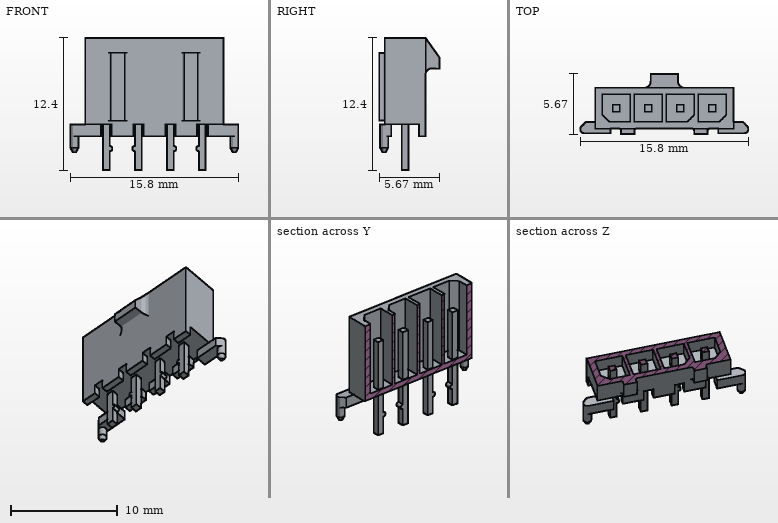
import cadquery as cq
import math

body_length = 13.0
body_depth = 3.84
body_height = 8.12
wall = 0.63

pitch = 3.0
pin_count = 4
pin_xs = [(i - (pin_count - 1) / 2) * pitch for i in range(pin_count)]
row_y = body_depth / 2

pocket_length = 2.62
pocket_depth = body_depth - 2 * wall
pocket_height = body_height - wall
key_chamfer = 0.66
key_corners = ["<X and <Y", None, ">X and <Y", ">X and <Y"]

foot_height = 1.12
foot_gap = 0.95

pin_size = 0.65
pin_top = -2.37
pin_bottom = -12.42
bump_radius = 0.25
bump_z = -10.4
bump_sides = [1, -1, 1, -1]

overall_length = 15.8
peg_radius = 0.4
peg_x = overall_length / 2 - peg_radius
peg_y = -0.05
peg_shoulder_z = -10.3
peg_tip_z = -10.75
peg_tip_radius = 0.16
arm_inner_x = 5.04
arm_back_y = wall

rib_x = 3.43
rib_width = 1.28
rib_depth = 0.52
rib_top = -1.4
rib_bottom = -7.77
rib_fillet = 0.19

latch_width = 2.59
latch_depth = 1.31
latch_nose_top = -1.85
latch_nose_bottom = -2.92
latch_root_bottom = -2.88
latch_fillet = 0.58


def box(x_range, y_range, z_range):
    """Axis-aligned block spanning the three ranges."""
    low, high = zip(x_range, y_range, z_range)
    size = [end - start for start, end in zip(low, high)]
    return cq.Workplane("XY").box(*size, centered=False).translate(low)


def pocket(x, key_corner):
    """Pocket cutter around one contact, with an optional keyed corner."""
    cutter = box(
        (x - pocket_length / 2, x + pocket_length / 2),
        (wall, wall + pocket_depth),
        (-pocket_height, 0),
    )
    if key_corner:
        cutter = cutter.edges("|Z").edges(key_corner).chamfer(key_chamfer)
    return cutter


def feet():
    """Feet along both long walls, parted at each pin; the arms take the front corners."""
    z_range = (-body_height - foot_height, -body_height)
    front_half = pin_xs[-1]
    row = box((-front_half, front_half), (0, wall), z_range)
    row = row.union(box((-body_length / 2, body_length / 2), (body_depth - wall, body_depth), z_range))
    for x in pin_xs:
        row = row.cut(box((x - foot_gap / 2, x + foot_gap / 2), (0, body_depth), z_range))
    return row


def pin(x, bump_side):
    """Square contact pin with a half-round retention bump on one side."""
    half = pin_size / 2
    y_range = (row_y - half, row_y + half)
    bump = (
        cq.Workplane("XZ", origin=(x + bump_side * half, y_range[1], bump_z))
        .circle(bump_radius)
        .extrude(pin_size)
    )
    return box((x - half, x + half), y_range, (pin_bottom, pin_top)).union(bump)


def peg_arm():
    """Right-hand arm with a rounded, bevelled end and a cone-tipped board peg."""
    diagonal = peg_radius * math.sqrt(0.5)
    bevel_x = peg_x + diagonal
    bevel_y = peg_y + diagonal
    front_y = peg_y - peg_radius
    arm = (
        cq.Workplane("XY", origin=(0, 0, -body_height - foot_height))
        .moveTo(arm_inner_x, front_y)
        .lineTo(peg_x, front_y)
        .threePointArc((peg_x + peg_radius, peg_y), (bevel_x, bevel_y))
        .lineTo(bevel_x - (arm_back_y - bevel_y), arm_back_y)
        .lineTo(arm_inner_x, arm_back_y)
        .close()
        .extrude(foot_height)
    )
    peg = (
        cq.Workplane("XZ", origin=(peg_x, peg_y, 0))
        .moveTo(0, -body_height)
        .lineTo(peg_radius, -body_height)
        .lineTo(peg_radius, peg_shoulder_z)
        .lineTo(peg_tip_radius, peg_tip_z)
        .lineTo(0, peg_tip_z)
        .close()
        .revolve(360, (0, 0, 0), (0, 1, 0))
    )
    return arm.union(peg)


def rib(x):
    """Vertical rib on the front face with concave fillets along its root."""
    half = rib_width / 2
    root = half + rib_fillet
    sag = rib_fillet * (1 - math.sqrt(0.5))
    return (
        cq.Workplane("XY", origin=(x, 0, rib_bottom))
        .moveTo(-root, 0)
        .threePointArc((-half - sag, -sag), (-half, -rib_fillet))
        .lineTo(-half, -rib_depth)
        .lineTo(half, -rib_depth)
        .lineTo(half, -rib_fillet)
        .threePointArc((half + sag, -sag), (root, 0))
        .close()
        .extrude(rib_top - rib_bottom)
    )


def latch():
    """Rear latch ramp: plan outline with filleted roots, trimmed by its side profile."""
    half = latch_width / 2
    root = half + latch_fillet
    sag = latch_fillet * (1 - math.sqrt(0.5))
    fillet_y = body_depth + latch_fillet
    nose_y = body_depth + latch_depth
    plan = (
        cq.Workplane("XY", origin=(0, 0, -body_height))
        .moveTo(-root, body_depth)
        .threePointArc((-half - sag, body_depth + sag), (-half, fillet_y))
        .lineTo(-half, nose_y)
        .lineTo(half, nose_y)
        .lineTo(half, fillet_y)
        .threePointArc((half + sag, body_depth + sag), (root, body_depth))
        .close()
        .extrude(body_height)
    )
    profile = (
        cq.Workplane("YZ", origin=(-root, 0, 0))
        .moveTo(body_depth, 0)
        .lineTo(nose_y, latch_nose_top)
        .lineTo(nose_y, latch_nose_bottom)
        .lineTo(fillet_y, latch_root_bottom)
        .threePointArc(
            (body_depth + sag, latch_root_bottom - sag),
            (body_depth, latch_root_bottom - latch_fillet),
        )
        .close()
        .extrude(2 * root)
    )
    return plan.intersect(profile)


result = box((-body_length / 2, body_length / 2), (0, body_depth), (-body_height, 0))
for x, key_corner in zip(pin_xs, key_corners):
    result = result.cut(pocket(x, key_corner))

result = result.union(feet()).union(latch())
for x, bump_side in zip(pin_xs, bump_sides):
    result = result.union(pin(x, bump_side))

right_arm = peg_arm()
result = result.union(right_arm).union(right_arm.mirror("YZ"))
for x in (-rib_x, rib_x):
    result = result.union(rib(x))